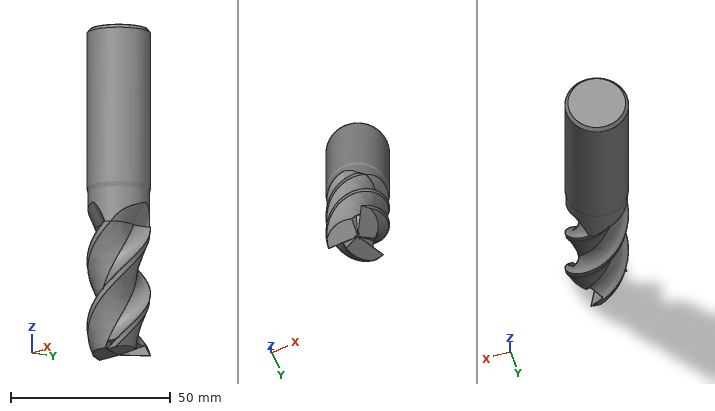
import cadquery as cq
import math

total_length = 104.0
cutter_radius = 10.0
flute_count = 3
flute_pitch = 360 / flute_count

cutter_length = 41.1
neck_radius = 9.7
neck_top = 52.0
shoulder_top = 53.6
shank_chamfer = 0.9
shank_chamfer_height = 1.1

helix_lead = 2 * math.pi * cutter_radius
first_edge_angle = 60.0
land_end_radius = 9.7
land_angle = 12.7
back_mid_radius = 7.1
root_radius = 5.6
root_angle = 83.0
back_mid_angle = (land_angle + root_angle) / 2
rake_mid_radius = 6.3
rake_mid_angle = 103.0
hook_radius = 8.3
hook_angle = 117.0

runout_height = 8.3
runout_outward_slope = 0.58
runout_sideways_slope = 0.14
clear_radius = 16.6

end_relief_slope = 0.28
relief_reach = 41.6
gash_reach = 14.6
gash_flank_slope = 0.72
gash_crest = (-2.8, 10.0)
gash_wall_top = (5.9, 6.7)


def polar(radius, angle):
    """Point in the XY plane from a radius and an angle in degrees."""
    turn = math.radians(angle)
    return (radius * math.cos(turn), radius * math.sin(turn))


def polyhedron(points, faces):
    """Solid from corner points and the corner numbers of each flat face."""
    walls = []
    for face in faces:
        corners = [cq.Vector(*points[i]) for i in face]
        walls.append(cq.Face.makeFromWires(cq.Wire.makePolygon(corners, close=True)))
    return cq.Workplane(cq.Solid.makeSolid(cq.Shell.makeShell(walls)))


def add_flute(outline, edge_angle):
    """Add the curved tooth back, the hollow flute and the flat rake face up to the next cutting edge."""
    return outline.threePointArc(
        polar(back_mid_radius, edge_angle + back_mid_angle),
        polar(root_radius, edge_angle + root_angle),
    ).threePointArc(
        polar(rake_mid_radius, edge_angle + rake_mid_angle),
        polar(hook_radius, edge_angle + hook_angle),
    ).lineTo(*polar(cutter_radius, edge_angle + flute_pitch))


def fluted_section():
    """Cross-section of the cutter at its cutting end."""
    outline = cq.Workplane("XY").moveTo(*polar(cutter_radius, first_edge_angle))
    for i in range(flute_count):
        edge_angle = first_edge_angle + i * flute_pitch
        outline = outline.lineTo(*polar(land_end_radius, edge_angle + land_angle))
        outline = add_flute(outline, edge_angle)
    return outline.close()


def end_relief():
    """Wedge that slopes the end face upward behind a cutting edge on +X."""
    far_x, far_y = polar(relief_reach, flute_pitch)
    points = [
        (0, 0, 0),
        (relief_reach, 0, 0),
        (far_x, far_y, 0),
        (far_x, far_y, end_relief_slope * far_y),
    ]
    return polyhedron(points, [(0, 2, 1), (0, 1, 3), (1, 2, 3), (0, 3, 2)])


def gash():
    """Pyramid with its tip on the axis, hollowed in front of a cutting edge on +X."""
    points = [
        (0, 0, 0),
        (gash_reach, 0, 0),
        (gash_reach, *gash_wall_top),
        (gash_reach, *gash_crest),
        (gash_reach, -gash_flank_slope * gash_reach, 0),
    ]
    return polyhedron(points, [(1, 2, 3, 4), (0, 2, 1), (0, 3, 2), (0, 4, 3), (0, 1, 4)])


def make_cutter():
    twist = 360 * cutter_length / helix_lead
    cutter = fluted_section().twistExtrude(cutter_length, twist)
    for i in range(flute_count):
        edge_angle = first_edge_angle + i * flute_pitch
        for tool in (end_relief(), gash()):
            cutter = cutter.cut(tool.rotate((0, 0, 0), (0, 0, 1), edge_angle))
    return cutter


def flute_runout(edge_angle):
    """Flute hollow carried in a straight line up and outward from the top of the cutter."""
    next_edge = edge_angle + flute_pitch
    outline = cq.Workplane("XY", origin=(0, 0, cutter_length))
    outline = outline.moveTo(*polar(land_end_radius, edge_angle + land_angle))
    outline = add_flute(outline, edge_angle)
    outline = outline.lineTo(*polar(clear_radius, next_edge))
    outline = outline.lineTo(*polar(clear_radius, edge_angle + root_angle))
    outline = outline.lineTo(*polar(clear_radius, edge_angle + land_angle)).close()
    out_x, out_y = polar(runout_outward_slope, edge_angle + root_angle)
    side_x, side_y = polar(runout_sideways_slope, edge_angle + root_angle + 90)
    path = cq.Vector(out_x + side_x, out_y + side_y, 1) * runout_height
    return cq.Workplane(cq.Solid.extrudeLinear(outline.val(), [], path))


def make_shank():
    profile = [
        (0, cutter_length),
        (neck_radius, cutter_length),
        (neck_radius, neck_top),
        (cutter_radius, shoulder_top),
        (cutter_radius, total_length - shank_chamfer_height),
        (cutter_radius - shank_chamfer, total_length),
        (0, total_length),
    ]
    shank = cq.Workplane("XZ").polyline(profile).close().revolve(360, (0, 0), (0, 1))
    top_edge_angle = first_edge_angle + 360 * cutter_length / helix_lead
    for i in range(flute_count):
        shank = shank.cut(flute_runout(top_edge_angle + i * flute_pitch))
    return shank


cutter = make_cutter()
shank = make_shank()
result = cq.Compound.makeCompound([cutter.val(), shank.val()])